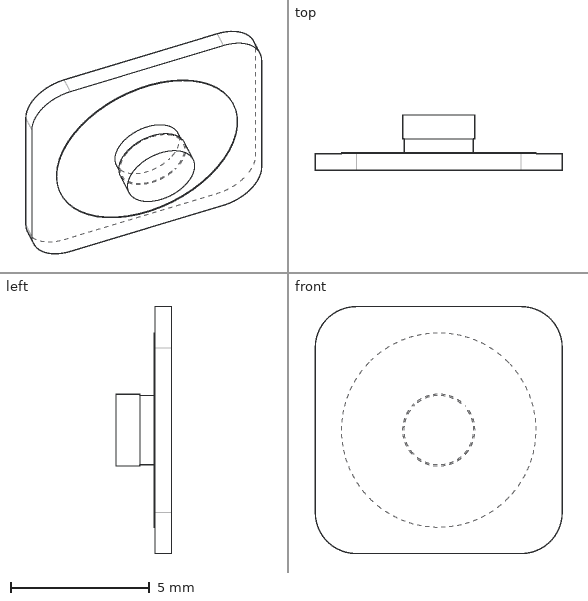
import cadquery as cq

plate_side = 8.9
plate_thickness = 0.605
corner_radius = 1.49

pad_diameter = 7.0
pad_height = 0.04

neck_diameter = 2.5
head_diameter = 2.6
head_length = 0.86
total_depth = 2.0


def disc(diameter, start, end):
    """Cylinder along Y, centred on the plate, between two depths."""
    plane = cq.Workplane("XZ", origin=(0, start, 0))
    return plane.circle(diameter / 2).extrude(start - end)


plate = (
    cq.Workplane("XY")
    .box(plate_side, plate_thickness, plate_side, centered=(True, False, True))
    .edges("|Y")
    .fillet(corner_radius)
)

pad_back = plate_thickness + pad_height
head_start = total_depth - head_length

pad = disc(pad_diameter, plate_thickness, pad_back)
neck = disc(neck_diameter, pad_back, head_start)
head = disc(head_diameter, head_start, total_depth)

result = plate.union(pad).union(neck).union(head)